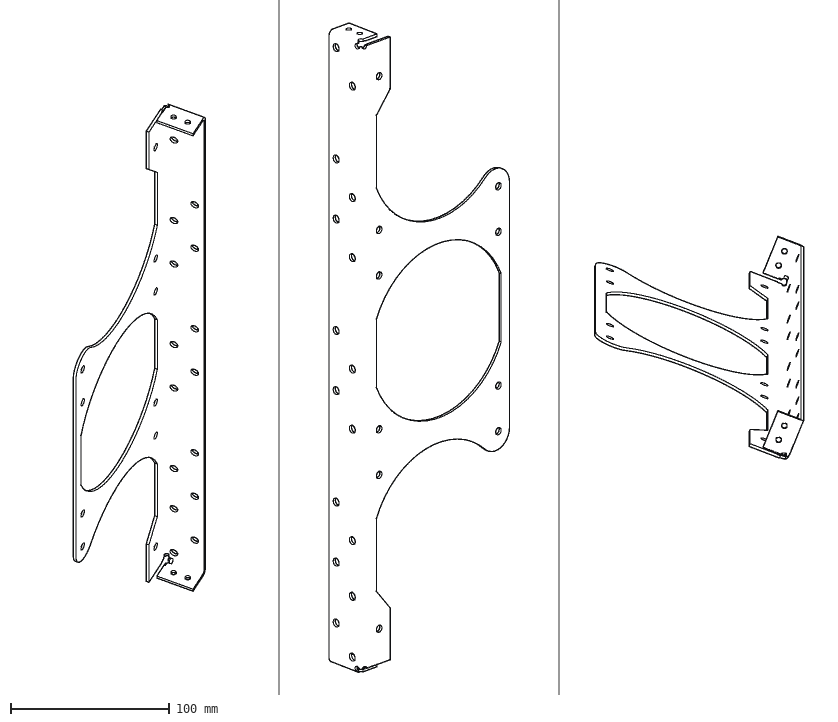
import cadquery as cq
import math

WIDTH = 29.0
DEPTH = 130.8
HEIGHT = 431.5
THICKNESS = 2.0
BEND_INNER = 1.7
BEND_OUTER = BEND_INNER + THICKNESS
MID_Z = HEIGHT / 2

SIDE_END_GAP = 3.5
NECK_DEPTH = 14.0
TAB_DEPTH = 26.0
TAB_INNER_Z = 177.0
NECK_OUTER_Z = 162.3
FAN_PITCH = 136.0
FAN_CENTER_DEPTH = 68.5
FAN_OPENING_RADIUS = 59.5
FAN_OPENING_DEPTH_END = 123.5
FAN_HOLE_SPACING = 105.0
FAN_HOLE_DIAMETER = 4.7
LOBE_RADIUS = 12.5

FLANGE_START_X = 3.5
FLANGE_DEPTH = 17.5
FLANGE_HOLE_DEPTH = 10.5
FLANGE_HOLE_XS = (11.5, 21.5)
FLANGE_HOLE_DIAMETER = 3.5

WEB_HOLE_DIAMETER = 5.0
OUTER_COLUMN_X = 22.5
INNER_COLUMN_X = 7.8
WEB_GROUP_TOP_Z = 421.5
WEB_GROUP_PITCH = 117.0
WEB_GROUP_COUNT = 3
WEB_PAIR_SPACING = 76.0
WEB_STAGGER = 22.0
LAST_GROUP_OUTER_ZS = (70.8, 29.5)
LAST_GROUP_STAGGER = 19.0

RELIEF_DIAMETER = 3.5
RELIEF_OFFSET = 3.5


def bent_leaf(workplane, leg, length):
    """Flat leaf along local x, ending in a quarter bend towards local y at the origin."""
    mid_arc = 1 - math.sqrt(0.5)
    outer_mid = BEND_OUTER * mid_arc
    inner_mid = THICKNESS + BEND_INNER * mid_arc
    return (
        workplane
        .moveTo(leg, 0)
        .lineTo(BEND_OUTER, 0)
        .threePointArc((outer_mid, outer_mid), (0, BEND_OUTER))
        .lineTo(THICKNESS, BEND_OUTER)
        .threePointArc((inner_mid, inner_mid), (BEND_OUTER, THICKNESS))
        .lineTo(leg, THICKNESS)
        .close()
        .extrude(length)
    )


def side_workplane():
    """Local x is depth from the back face, local y is height above mid height."""
    return cq.Workplane(cq.Plane((0, 0, MID_Z), xDir=(0, -1, 0), normal=(-1, 0, 0)))


def fan_opening():
    """Round fan opening flattened beside the web and beside the free edge."""
    circle = side_workplane().center(FAN_CENTER_DEPTH, 0).circle(FAN_OPENING_RADIUS).extrude(-THICKNESS)
    flat_width = FAN_OPENING_DEPTH_END - NECK_DEPTH
    limits = (
        side_workplane()
        .center(NECK_DEPTH + flat_width / 2, 0)
        .rect(flat_width, 2 * FAN_OPENING_RADIUS)
        .extrude(-THICKNESS)
    )
    return circle.intersect(limits)


def side_outline():
    """Half of the side plate beyond the bend, from mid height upwards."""
    end_z = MID_Z - SIDE_END_GAP
    lobe_depth = DEPTH - LOBE_RADIUS
    lobe_run = lobe_depth - FAN_CENTER_DEPTH
    lobe_drop = math.sqrt((FAN_OPENING_RADIUS + LOBE_RADIUS) ** 2 - lobe_run ** 2)
    lobe_z = FAN_PITCH - lobe_drop
    touch_share = FAN_OPENING_RADIUS / (FAN_OPENING_RADIUS + LOBE_RADIUS)
    touch = (FAN_CENTER_DEPTH + lobe_run * touch_share, FAN_PITCH - lobe_drop * touch_share)
    neck_run = FAN_CENTER_DEPTH - NECK_DEPTH
    scoop_end_z = FAN_PITCH - math.sqrt(FAN_OPENING_RADIUS ** 2 - neck_run ** 2)
    return (
        side_workplane()
        .moveTo(BEND_OUTER, 0)
        .lineTo(DEPTH, 0)
        .lineTo(DEPTH, lobe_z)
        .threePointArc((lobe_depth, lobe_z + LOBE_RADIUS), touch)
        .threePointArc((FAN_CENTER_DEPTH, FAN_PITCH - FAN_OPENING_RADIUS), (NECK_DEPTH, scoop_end_z))
        .lineTo(NECK_DEPTH, NECK_OUTER_Z)
        .lineTo(TAB_DEPTH, TAB_INNER_Z)
        .lineTo(TAB_DEPTH, end_z)
        .lineTo(BEND_OUTER, end_z)
        .close()
    )


def side_plate():
    upper = side_outline().extrude(-THICKNESS)
    plate = upper.union(upper.mirror("XY", (0, 0, MID_Z))).cut(fan_opening())
    half_spacing = FAN_HOLE_SPACING / 2
    near_depth = FAN_CENTER_DEPTH - half_spacing
    far_depth = FAN_CENTER_DEPTH + half_spacing
    hole_points = []
    for sign in (-1, 1):
        for z in (half_spacing, FAN_PITCH - half_spacing):
            hole_points += [(near_depth, sign * z), (far_depth, sign * z)]
        hole_points.append((near_depth, sign * (FAN_PITCH + half_spacing)))
    holes = side_workplane().pushPoints(hole_points).circle(FAN_HOLE_DIAMETER / 2).extrude(-THICKNESS)
    return plate.cut(holes)


def web_with_side_bend():
    """Back web together with the bend into the side plate."""
    plane = cq.Plane((0, 0, HEIGHT - SIDE_END_GAP), xDir=(1, 0, 0), normal=(0, 0, -1))
    return bent_leaf(cq.Workplane(plane), WIDTH, HEIGHT - 2 * SIDE_END_GAP)


def bottom_flange():
    """End flange with its bend, joined to the lower edge of the back web."""
    plane = cq.Plane((WIDTH, 0, 0), xDir=(0, -1, 0), normal=(-1, 0, 0))
    flange = bent_leaf(cq.Workplane(plane), FLANGE_DEPTH, WIDTH - FLANGE_START_X)
    hole_points = [(x, -FLANGE_HOLE_DEPTH) for x in FLANGE_HOLE_XS]
    holes = cq.Workplane("XY").pushPoints(hole_points).circle(FLANGE_HOLE_DIAMETER / 2).extrude(THICKNESS)
    return flange.cut(holes)


def bottom_edge_clearance():
    """Square web edge that gives way to the bend of the end flange."""
    return cq.Workplane("XY").box(WIDTH, BEND_OUTER, BEND_OUTER, centered=False).translate(
        (FLANGE_START_X, -BEND_OUTER, 0)
    )


def corner_relief():
    """Round relief through the meeting bends, along each axis."""
    center = cq.Vector(RELIEF_OFFSET, -RELIEF_OFFSET, RELIEF_OFFSET)
    half_length = BEND_OUTER
    relief = cq.Workplane("XY")
    for axis in (cq.Vector(1, 0, 0), cq.Vector(0, 1, 0), cq.Vector(0, 0, 1)):
        start = center - axis * half_length
        relief = relief.add(cq.Solid.makeCylinder(RELIEF_DIAMETER / 2, 2 * half_length, start, axis))
    return relief.combine()


def web_holes():
    outer_holes = []
    for group in range(WEB_GROUP_COUNT):
        top_z = WEB_GROUP_TOP_Z - group * WEB_GROUP_PITCH
        outer_holes += [(top_z, WEB_STAGGER), (top_z - WEB_PAIR_SPACING, WEB_STAGGER)]
    outer_holes += [(z, LAST_GROUP_STAGGER) for z in LAST_GROUP_OUTER_ZS]
    points = []
    for z, stagger in outer_holes:
        points += [(OUTER_COLUMN_X, z), (INNER_COLUMN_X, z - stagger)]
    return cq.Workplane("XZ").pushPoints(points).circle(WEB_HOLE_DIAMETER / 2).extrude(THICKNESS)


def mirrored_pair(body):
    """The body together with its mirror image about mid height."""
    return body.union(body.mirror("XY", (0, 0, MID_Z)))


bracket = web_with_side_bend().cut(mirrored_pair(bottom_edge_clearance()))
bracket = bracket.union(side_plate()).union(mirrored_pair(bottom_flange()))
result = bracket.cut(mirrored_pair(corner_relief())).cut(web_holes())